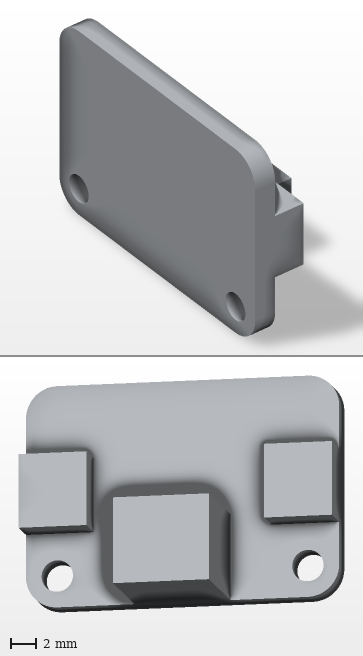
import cadquery as cq

plate_width = 25.5
plate_height = 18.0
plate_thickness = 2.01
corner_radius = 2.55

hole_diameter = 2.55

center_width = 7.8
center_height = 6.99
total_depth = 10.5

side_width = 5.5
side_height = plate_height / 3
side_bottom = plate_height / 3
side_depth = 4.9

block_start = plate_thickness / 2


def rear_block(center_x, bottom, width, height, depth):
    """Block behind the plate, reaching back to the given depth from the front face."""
    return (
        cq.Workplane("XY")
        .box(width, depth - block_start, height, centered=(True, False, False))
        .translate((center_x, block_start, bottom))
    )


plate = (
    cq.Workplane("XY")
    .box(plate_width, plate_thickness, plate_height, centered=(True, False, False))
    .edges("|Y")
    .fillet(corner_radius)
)

result = plate.union(rear_block(0, 0, center_width, center_height, total_depth))

side_x = (plate_width - side_width) / 2
hole_x = plate_width / 2 - corner_radius
for side in (-1, 1):
    result = result.union(rear_block(side * side_x, side_bottom, side_width, side_height, side_depth))
    hole = (
        cq.Workplane("XZ")
        .center(side * hole_x, corner_radius)
        .circle(hole_diameter / 2)
        .extrude(-plate_thickness)
    )
    result = result.cut(hole)